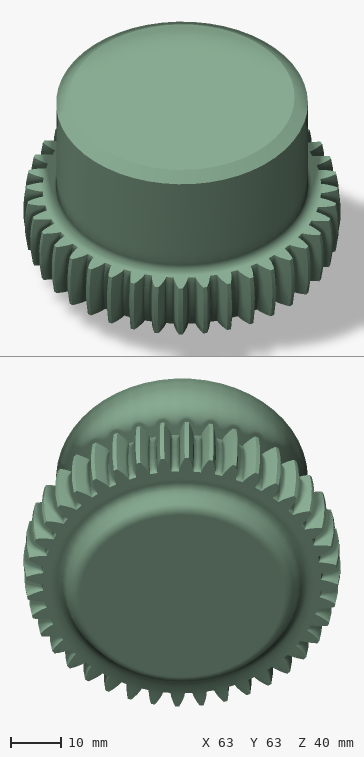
import cadquery as cq
import math

total_height = 40.0
gear_bottom = 4.5
face_width = 12.0
gear_top = gear_bottom + face_width
gear_middle = gear_bottom + face_width / 2

boss_radius = 25.0
boss_chamfer_height = 1.5
boss_chamfer_width = 2.65
boss_fillet = 1.0

collar_radius = 21.4
collar_half_angle = math.radians(30)
collar_rim_fillet = 2.0
collar_root_fillet = 1.5

tooth_count = 40
tip_radius = 31.5
pitch_radius = 30.0
root_radius = 28.3
pressure_angle = math.radians(21)
backlash = 0.2
cutter_overrun = 0.6
flank_points = 8

base_radius = pitch_radius * math.cos(pressure_angle)


def involute(angle):
    """Involute function of a pressure angle, in radians."""
    return math.tan(angle) - angle


def polar(radius, angle):
    return (radius * math.cos(angle), radius * math.sin(angle))


def space_half_angle(radius):
    """Half the angular width of a tooth space at the given radius."""
    local_angle = math.acos(base_radius / radius)
    half_space_at_pitch = math.pi / (2 * tooth_count) + backlash / (2 * pitch_radius)
    return half_space_at_pitch - involute(pressure_angle) + involute(local_angle)


def make_turned_body():
    """Boss, spherical-rimmed gear blank and collar turned as one profile of (radius, height) points."""
    boss_top_radius = boss_radius - boss_chamfer_width
    gear_edge_radius = math.sqrt(tip_radius**2 - (face_width / 2) ** 2)

    cone_slope = math.tan(collar_half_angle)
    turn_angle = math.pi / 2 - collar_half_angle
    rim_setback = collar_rim_fillet * math.tan(turn_angle / 2)
    root_setback = collar_root_fillet * math.tan(turn_angle / 2)
    out = math.sin(collar_half_angle)
    up = math.cos(collar_half_angle)
    collar_top_radius = collar_radius + gear_bottom * cone_slope

    return (
        cq.Workplane("XZ")
        .lineTo(collar_radius - rim_setback, 0)
        .radiusArc((collar_radius + rim_setback * out, rim_setback * up), -collar_rim_fillet)
        .lineTo(collar_top_radius - root_setback * out, gear_bottom - root_setback * up)
        .radiusArc((collar_top_radius + root_setback, gear_bottom), collar_root_fillet)
        .lineTo(gear_edge_radius, gear_bottom)
        .threePointArc((tip_radius, gear_middle), (gear_edge_radius, gear_top))
        .lineTo(boss_radius + boss_fillet, gear_top)
        .radiusArc((boss_radius, gear_top + boss_fillet), boss_fillet)
        .lineTo(boss_radius, total_height - boss_chamfer_height)
        .lineTo(boss_top_radius, total_height)
        .lineTo(0, total_height)
        .close()
        .revolve(360, (0, 0), (0, 1))
    )


def make_space_cutter():
    """Involute tooth space swung about the gear's centre, so roots and flanks are crowned like the tips."""
    outer_radius = tip_radius + cutter_overrun
    step = (outer_radius - root_radius) / (flank_points - 1)
    flank_radii = [root_radius + i * step for i in range(flank_points)]
    upper = [polar(r, space_half_angle(r)) for r in flank_radii]
    lower = [(x, -y) for x, y in upper]
    root_half_angle = space_half_angle(root_radius)

    swing = math.degrees(math.asin((face_width / 2 + cutter_overrun) / root_radius))
    profile = (
        cq.Workplane("XY")
        .moveTo(*polar(root_radius, -root_half_angle))
        .threePointArc((root_radius, 0), polar(root_radius, root_half_angle))
        .spline(upper[1:], includeCurrent=True)
        .lineTo(*lower[-1])
        .spline(lower[-2::-1], includeCurrent=True)
        .close()
    )
    cutter = profile.revolve(2 * swing, (0, 0), (0, 1))
    cutter = cutter.rotate((0, 0, 0), (0, 1, 0), -swing)
    return cutter.translate((0, 0, gear_middle))


def cut_teeth(body):
    cutter = make_space_cutter()
    pitch = 360 / tooth_count
    spaces = [cutter.rotate((0, 0, 0), (0, 0, 1), (i + 0.5) * pitch).val() for i in range(tooth_count)]
    return body.cut(cq.Workplane(cq.Compound.makeCompound(spaces)))


result = cut_teeth(make_turned_body())